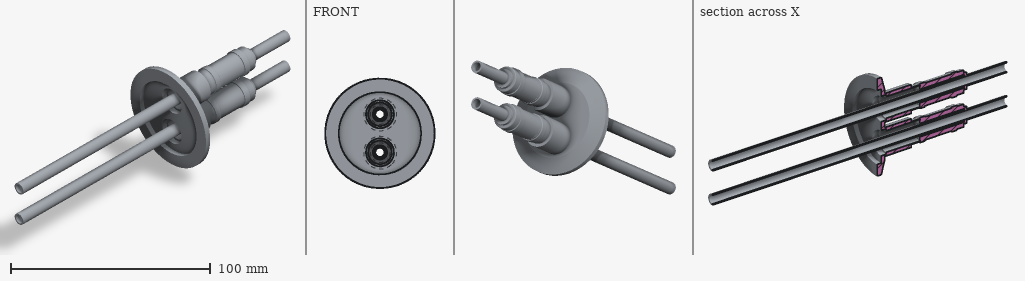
import cadquery as cq


flange_diameter = 54.86
flange_rim_thickness = 2.9
flange_thickness = 5.15
flange_back_diameter = 38.5
recess_diameter = 41.2
recess_depth = 2.6

tube_spacing = 19.05
tube_diameter = 6.35
tube_bore_diameter = 4.57
tube_length = 184.15
tube_front_y = -102.9
tube_end_y = tube_front_y + tube_length

sleeve_diameter = 16.4
sleeve_end_y = 21.6

body_diameter = 13.1
body_end_y = 54.4
band_diameter = 14.2
front_band_y = 26.7
front_band_end_y = 30.0
rear_band_y = 46.6
rear_band_end_y = 49.9
lip_diameter = 13.3
lip_end_y = 31.1
collar_diameter = 9.8
collar_end_y = 56.1
edge_radius = 0.4

well_diameter = 14.0
well_depth = 3.0
well_step_y = recess_depth + well_depth
inner_well_diameter = 11.8
inner_well_end_y = front_band_y
tube_clearance_diameter = 7.2


def revolve_about_y(profile, z):
    """Revolve a closed half profile about Y and move it to height z."""
    return profile.close().revolve(360, (0, 0, 0), (0, 1, 0)).translate((0, 0, z))


def cylinder_along_y(diameter, start_y, end_y, z):
    """Cylinder parallel to Y, between two Y positions at height z."""
    start = cq.Vector(0, start_y, z)
    direction = cq.Vector(0, 1, 0)
    return cq.Workplane(obj=cq.Solid.makeCylinder(diameter / 2, end_y - start_y, start, direction))


def make_flange():
    """Disc with a tapered back and a round recess in its sealing face."""
    profile = (
        cq.Workplane("XY")
        .moveTo(0, recess_depth)
        .lineTo(recess_diameter / 2, recess_depth)
        .lineTo(recess_diameter / 2, 0)
        .lineTo(flange_diameter / 2, 0)
        .lineTo(flange_diameter / 2, flange_rim_thickness)
        .lineTo(flange_back_diameter / 2, flange_thickness)
        .lineTo(0, flange_thickness)
    )
    return revolve_about_y(profile, 0)


def make_feedthrough_body(z):
    """Sleeve, banded insulator body and collar as one solid of revolution."""
    sleeve_radius = sleeve_diameter / 2
    body_radius = body_diameter / 2
    band_radius = band_diameter / 2
    lip_radius = lip_diameter / 2
    collar_radius = collar_diameter / 2
    profile = (
        cq.Workplane("XY")
        .moveTo(0, recess_depth)
        .lineTo(sleeve_radius, recess_depth)
        .lineTo(sleeve_radius, sleeve_end_y)
        .lineTo(body_radius, sleeve_end_y)
        .lineTo(body_radius, front_band_y - edge_radius)
        .tangentArcPoint((edge_radius, edge_radius))
        .lineTo(band_radius, front_band_y)
        .lineTo(band_radius, front_band_end_y - edge_radius)
        .tangentArcPoint((-edge_radius, edge_radius))
        .lineTo(lip_radius, front_band_end_y)
        .lineTo(lip_radius, lip_end_y)
        .lineTo(body_radius, lip_end_y)
        .lineTo(body_radius, rear_band_y)
        .lineTo(band_radius, rear_band_y)
        .lineTo(band_radius, rear_band_end_y)
        .lineTo(body_radius, rear_band_end_y)
        .lineTo(body_radius, body_end_y - edge_radius)
        .tangentArcPoint((-edge_radius, edge_radius))
        .lineTo(collar_radius, body_end_y)
        .lineTo(collar_radius, collar_end_y)
        .lineTo(0, collar_end_y)
    )
    return revolve_about_y(profile, z)


def make_well(z):
    """Stepped cavity ending on a round-edged insulator face, with clearance round the tube."""
    inner_radius = inner_well_diameter / 2
    clearance_radius = tube_clearance_diameter / 2
    profile = (
        cq.Workplane("XY")
        .moveTo(0, body_end_y)
        .lineTo(clearance_radius, body_end_y)
        .lineTo(clearance_radius, inner_well_end_y)
        .lineTo(inner_radius - edge_radius, inner_well_end_y)
        .tangentArcPoint((edge_radius, edge_radius))
        .lineTo(inner_radius, well_step_y)
        .lineTo(well_diameter / 2, well_step_y)
        .lineTo(well_diameter / 2, recess_depth)
        .lineTo(0, recess_depth)
    )
    return revolve_about_y(profile, z)


def add_feedthrough(part, z):
    """Add a complete feedthrough at height z, hollow from end to end."""
    tube = cylinder_along_y(tube_diameter, tube_front_y, tube_end_y, z)
    bore = cylinder_along_y(tube_bore_diameter, tube_front_y, tube_end_y, z)
    return part.union(make_feedthrough_body(z)).cut(make_well(z)).union(tube).cut(bore)


result = make_flange()
for tube_z in (-tube_spacing / 2, tube_spacing / 2):
    result = add_feedthrough(result, tube_z)